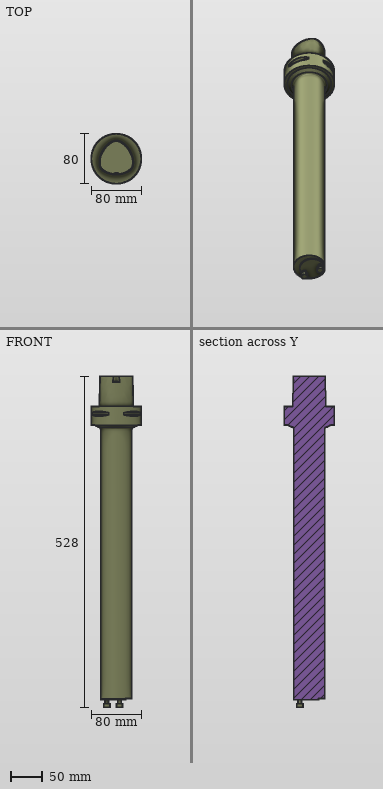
import cadquery as cq
import math

overall_height = 528.0

shank_height = 48.0
shank_base_diameter = 55.0
shank_lobe = 2.0
shank_taper = 1 / 20
lobe_direction = 90.0
section_points = 48

notch_diameter = 11.0
notch_tilt = 20.0
notch_lip_depth = 10.0
notch_floor_reach = 5.6

flange_diameter = 80.0
flange_height = 30.0
neck_cone_top_radius = 35.0
neck_cone_bottom_radius = 28.5
neck_cone_height = 3.2

groove_count = 4
groove_first_angle = 45.0
groove_middle_depth = 12.0
groove_outer_width = 8.0
groove_floor_width = 3.5
groove_floor_distance = 35.5

bar_diameter = 50.0
boss_diameter = 40.0
boss_height = 2.0
boss_x = -5.0
pin_offset = 10.0
pin_neck_diameter = 6.0
pin_neck_length = 6.0
pin_head_diameter = 10.0
pin_head_length = 6.0

bar_radius = bar_diameter / 2
flange_radius = flange_diameter / 2
bottom_z = shank_height - overall_height
boss_bottom_z = bottom_z + pin_head_length + pin_neck_length
bar_bottom_z = boss_bottom_z + boss_height


def lobed_section(diameter, z):
    """Closed three-lobed curve of constant width at height z."""
    def point(t):
        a = 2 * math.pi * t
        reach = diameter / 2 + shank_lobe * math.cos(3 * a)
        slide = 3 * shank_lobe * math.sin(3 * a)
        x = reach * math.cos(a) + slide * math.sin(a)
        y = reach * math.sin(a) - slide * math.cos(a)
        return cq.Vector(x, y, z)

    points = [point(i / section_points) for i in range(section_points)]
    edge = cq.Edge.makeSpline(points, periodic=True)
    wire = cq.Wire.assembleEdges([edge])
    return wire.rotate(cq.Vector(0, 0, 0), cq.Vector(0, 0, 1), lobe_direction)


def make_shank():
    """Tapered three-lobed shank with the tilted notch in its -Y flank."""
    top_diameter = shank_base_diameter - shank_taper * shank_height
    base = lobed_section(shank_base_diameter, 0)
    top = lobed_section(top_diameter, shank_height)
    shank = cq.Workplane(cq.Solid.makeLoft([base, top]))
    tilt = math.radians(notch_tilt)
    floor_middle = notch_floor_reach - notch_diameter / 2
    lip_y = shank_lobe - shank_base_diameter / 2 + shank_taper * (shank_height - notch_lip_depth) / 2
    lip_z = shank_height - notch_lip_depth
    notch_floor = cq.Plane(
        origin=(0, lip_y + floor_middle * math.cos(tilt), lip_z + floor_middle * math.sin(tilt)),
        xDir=(1, 0, 0),
        normal=(0, -math.sin(tilt), math.cos(tilt)),
    )
    notch = cq.Workplane(notch_floor).circle(notch_diameter / 2).extrude(2 * notch_lip_depth)
    return shank.cut(notch)


def make_flange_and_bar():
    """Flange, conical neck with its fillet, and the long bar, turned about Z."""
    cone_bottom_z = -flange_height - neck_cone_height
    fillet_radius = neck_cone_bottom_radius - bar_radius
    fillet_middle = (
        neck_cone_bottom_radius - fillet_radius * math.sin(math.pi / 4),
        cone_bottom_z - fillet_radius * (1 - math.cos(math.pi / 4)),
    )
    return (
        cq.Workplane("XZ")
        .lineTo(flange_radius, 0)
        .lineTo(flange_radius, -flange_height)
        .lineTo(neck_cone_top_radius, -flange_height)
        .lineTo(neck_cone_bottom_radius, cone_bottom_z)
        .threePointArc(fillet_middle, (bar_radius, cone_bottom_z - fillet_radius))
        .lineTo(bar_radius, bar_bottom_z)
        .lineTo(0, bar_bottom_z)
        .close()
        .revolve(360, (0, 0, 0), (0, 1, 0))
    )


def make_groove(angle):
    """Straight trapezoidal groove cut along a chord of the flange."""
    outer = groove_outer_width / 2
    floor = groove_floor_width / 2
    return (
        cq.Workplane("XZ", origin=(0, 0, -groove_middle_depth))
        .moveTo(groove_floor_distance, -floor)
        .lineTo(flange_radius, -outer)
        .lineTo(flange_radius, outer)
        .lineTo(groove_floor_distance, floor)
        .close()
        .extrude(flange_radius, both=True)
        .rotate((0, 0, 0), (0, 0, 1), angle)
    )


def make_boss():
    return (
        cq.Workplane("XY", origin=(boss_x, 0, boss_bottom_z))
        .circle(boss_diameter / 2)
        .extrude(boss_height)
    )


def make_pin(x, y):
    head = (
        cq.Workplane("XY", origin=(x, y, bottom_z))
        .circle(pin_head_diameter / 2)
        .extrude(pin_head_length)
    )
    return head.faces(">Z").workplane().circle(pin_neck_diameter / 2).extrude(pin_neck_length)


result = make_flange_and_bar()
for i in range(groove_count):
    result = result.cut(make_groove(groove_first_angle + i * 360 / groove_count))
result = result.union(make_shank()).union(make_boss())
for side in (-1, 1):
    result = result.union(make_pin(boss_x + side * pin_offset, -side * pin_offset))